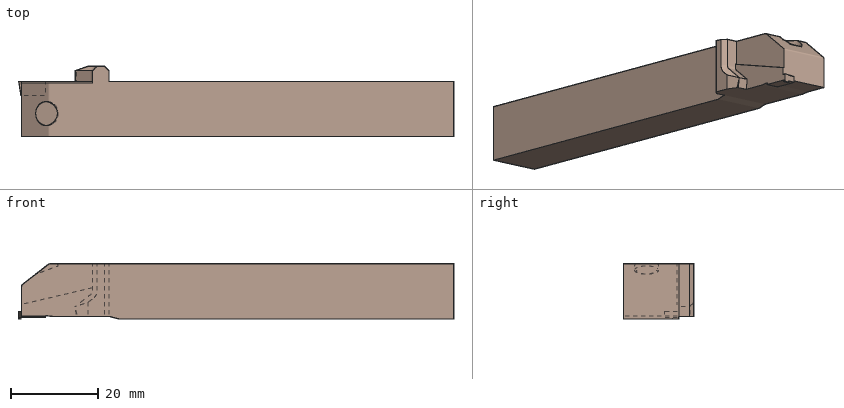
import cadquery as cq
import math

total_length = 100.0
shank_size = 12.7
total_width = 16.2
insert_overhang = 0.65
head_x = insert_overhang

nose_top_x = 7.0
nose_bottom_z = 7.8
nose_edge_radius = 0.6

underside_z = 0.55
underside_ramp_start_x = 20.9
underside_ramp_end_x = 23.0
front_underside_z = 0.75
front_step_start_x = 6.2
front_step_end_x = 8.0

flank_relief = 0.35
ledge_front_z = 3.2
ledge_rear_z = 7.2

stop_front_x = 17.0
stop_rear_x = 20.8
stop_bevel = 1.05
foot_nose_x = 12.95
foot_nose_z = 2.85
foot_undercut = 0.35
foot_bevel_length = 3.0
foot_blend_radius = 1.1
stop_root_y = shank_size - flank_relief
stop_bevel_y = total_width - stop_bevel
nose_slope = (shank_size - nose_bottom_z) / (nose_top_x - head_x)

recess_diameter = 5.5
recess_tilt = 20.0
recess_floor = (6.5, 5.3, 11.25)
recess_cut_height = 5.0

insert_rear_x = front_step_start_x
insert_bottom_z = 0.35
insert_top_z = 1.75
insert_side_y = 9.4
insert_taper = 0.5
edge_side_y = 11.3
edge_rear_x = 0.55


def make_shank():
    """Bar with the sloped, rounded nose and the stepped underside."""
    outline = [
        (head_x, front_underside_z),
        (front_step_start_x, front_underside_z),
        (front_step_end_x, underside_z),
        (underside_ramp_start_x, underside_z),
        (underside_ramp_end_x, 0),
        (total_length, 0),
        (total_length, shank_size),
        (nose_top_x, shank_size),
        (head_x, nose_bottom_z),
    ]
    bar = cq.Workplane("XZ").polyline(outline).close().extrude(-shank_size)
    tolerance = 0.1
    for x, z in [(nose_top_x, shank_size), (head_x, nose_bottom_z)]:
        corner = cq.selectors.BoxSelector(
            (x - tolerance, 0, z - tolerance),
            (x + tolerance, shank_size, z + tolerance),
        )
        bar = bar.edges(corner).fillet(nose_edge_radius)
    return bar


def make_flank_relief():
    """Thin slice removed from the +Y flank between the nose and the stop block."""
    outline = [
        (0, ledge_front_z),
        (stop_front_x, ledge_rear_z),
        (stop_front_x, shank_size),
        (0, shank_size),
    ]
    slice_start = cq.Workplane("XZ", origin=(0, shank_size - flank_relief, 0))
    return slice_start.polyline(outline).close().extrude(-flank_relief)


def foot_height(x):
    """Height of the foot's sloping face at a given X."""
    return foot_nose_z + nose_slope * (x - foot_nose_x)


def make_foot_nose_cut():
    """Vertical wedge that narrows the foot toward its nose."""
    plan = [
        (foot_nose_x, stop_bevel_y),
        (foot_nose_x + foot_bevel_length, total_width),
        (foot_nose_x, total_width),
    ]
    base = cq.Workplane("XY", origin=(0, 0, underside_z))
    return base.polyline(plan).close().extrude(shank_size - underside_z)


def make_stop_block():
    """Stop with its sloping foot, bevelled along the outer front and rear edges."""
    wall_foot_z = foot_height(stop_front_x)
    outline = [
        (foot_nose_x + foot_undercut, underside_z),
        (stop_rear_x, underside_z),
        (stop_rear_x, shank_size),
        (stop_front_x, shank_size),
        (stop_front_x, wall_foot_z),
        (foot_nose_x, foot_nose_z),
    ]
    root = cq.Workplane("XZ", origin=(0, stop_root_y, 0))
    block = root.polyline(outline).close().extrude(stop_root_y - total_width)

    inner_corner = cq.selectors.NearestToPointSelector(
        (stop_front_x, (stop_root_y + total_width) / 2, wall_foot_z)
    )
    block = block.edges(inner_corner).fillet(foot_blend_radius)
    block = block.faces(">Y").edges("not(<Z or >Z)").chamfer(stop_bevel)
    return block.cut(make_foot_nose_cut())


def make_screw_recess():
    """Flat-floored round recess whose axis leans toward the nose."""
    tilt = math.radians(recess_tilt)
    axis = (-math.sin(tilt), 0, math.cos(tilt))
    floor = cq.Plane(origin=recess_floor, xDir=(0, 1, 0), normal=axis)
    return cq.Workplane(floor).circle(recess_diameter / 2).extrude(recess_cut_height)


def insert_front_x(y):
    """X of the insert's tapered front face at a given Y."""
    return insert_taper * (shank_size - y) / (shank_size - insert_side_y)


def make_insert_plate(side_y, rear_x, bottom_z):
    """Plate from the tapered front face back to rear_x, flush with the shank's +Y side."""
    plan = [
        (insert_front_x(side_y), side_y),
        (rear_x, side_y),
        (rear_x, shank_size),
        (insert_front_x(shank_size), shank_size),
    ]
    base = cq.Workplane("XY", origin=(0, 0, bottom_z))
    return base.polyline(plan).close().extrude(insert_top_z - bottom_z)


def make_insert():
    """Insert body plus the cutting edge reaching down at its tip."""
    body = make_insert_plate(insert_side_y, insert_rear_x, insert_bottom_z)
    cutting_edge = make_insert_plate(edge_side_y, edge_rear_x, 0)
    return body.union(cutting_edge)


result = (
    make_shank()
    .cut(make_flank_relief())
    .union(make_stop_block())
    .cut(make_screw_recess())
    .union(make_insert())
)